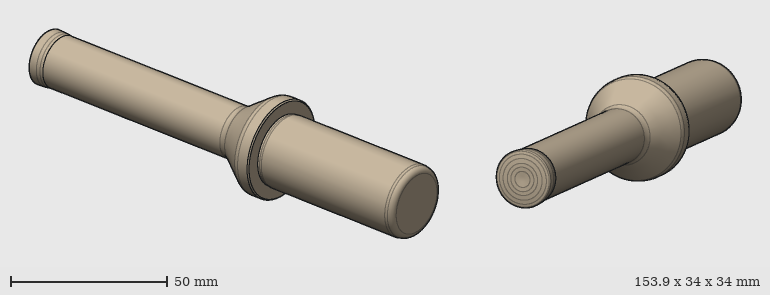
import cadquery as cq
import math

LENGTH = 153.9

CENTRE_RECESS = 0.3
FACE_RINGS = [(0.05, 2.6), (0.0, 4.0), (0.05, 5.2), (0.18, 6.8), (0.38, 8.2)]
CORNER_START = (0.55, 9.1)
CORNER_MID = (0.7, 9.35)
HEAD_RADIUS = 9.46
CORNER_END = 1.0
FIRST_TAPER_END = 3.7
FIRST_TAPER_RADIUS = 9.31
SECOND_TAPER_END = 5.1
SECOND_TAPER_RADIUS = 9.15
HEAD_END = 6.2

NECK_RADIUS = 18.0 / 2
CONE_START = 81.1
CONE_ANGLE = 34.5
NECK_FILLET = 4.8
FLANGE_RADIUS = 34.0 / 2
FLANGE_FILLET = 3.0
FLANGE_END = 98.0
FLANGE_CHAMFER = 0.5
cone_end = CONE_START + (FLANGE_RADIUS - NECK_RADIUS) / math.tan(math.radians(CONE_ANGLE))

SHANK_RADIUS = 25.0 / 2
RELIEF_RADIUS = 24.5 / 2
RELIEF_LENGTH = 0.8
RELIEF_TAPER = 1.0
END_ROUND = 2.0
END_TAPER = 1.0
relief_end = FLANGE_END + RELIEF_LENGTH
round_start = LENGTH - END_ROUND


def revolve_about_x(profile):
    """Turn a closed XY half-profile into a solid of revolution about X."""
    return profile.close().revolve(360, (0, 0, 0), (1, 0, 0))


def make_cutting_head():
    profile = cq.Workplane("XY").moveTo(CENTRE_RECESS, 0)
    for depth, radius in FACE_RINGS:
        profile = profile.lineTo(depth, radius)
    profile = (
        profile.lineTo(*CORNER_START)
        .threePointArc(CORNER_MID, (CORNER_END, HEAD_RADIUS))
        .lineTo(FIRST_TAPER_END, FIRST_TAPER_RADIUS)
        .lineTo(SECOND_TAPER_END, SECOND_TAPER_RADIUS)
        .lineTo(HEAD_END, NECK_RADIUS)
        .lineTo(HEAD_END, 0)
    )
    return revolve_about_x(profile)


def shoulder_edge(x, radius):
    """Box selector around the circular edge at position x with the given radius."""
    margin = 0.2
    reach = radius + margin
    return cq.selectors.BoxSelector(
        (x - margin, -reach, -reach), (x + margin, reach, reach), boundingbox=True
    )


def make_holder():
    profile = (
        cq.Workplane("XY")
        .moveTo(HEAD_END, 0)
        .lineTo(HEAD_END, NECK_RADIUS)
        .lineTo(CONE_START, NECK_RADIUS)
        .lineTo(cone_end, FLANGE_RADIUS)
        .lineTo(FLANGE_END - FLANGE_CHAMFER, FLANGE_RADIUS)
        .lineTo(FLANGE_END, FLANGE_RADIUS - FLANGE_CHAMFER)
        .lineTo(FLANGE_END, RELIEF_RADIUS)
        .lineTo(relief_end, RELIEF_RADIUS)
        .lineTo(relief_end + RELIEF_TAPER, SHANK_RADIUS)
        .lineTo(round_start - END_TAPER, SHANK_RADIUS)
        .lineTo(round_start, RELIEF_RADIUS)
        .radiusArc((LENGTH, RELIEF_RADIUS - END_ROUND), END_ROUND)
        .lineTo(LENGTH, 0)
    )
    holder = revolve_about_x(profile)
    holder = holder.edges(shoulder_edge(CONE_START, NECK_RADIUS)).fillet(NECK_FILLET)
    return holder.edges(shoulder_edge(cone_end, FLANGE_RADIUS)).fillet(FLANGE_FILLET)


cutting_head = make_cutting_head()
holder = make_holder()

result = cq.Compound.makeCompound([cutting_head.val(), holder.val()])